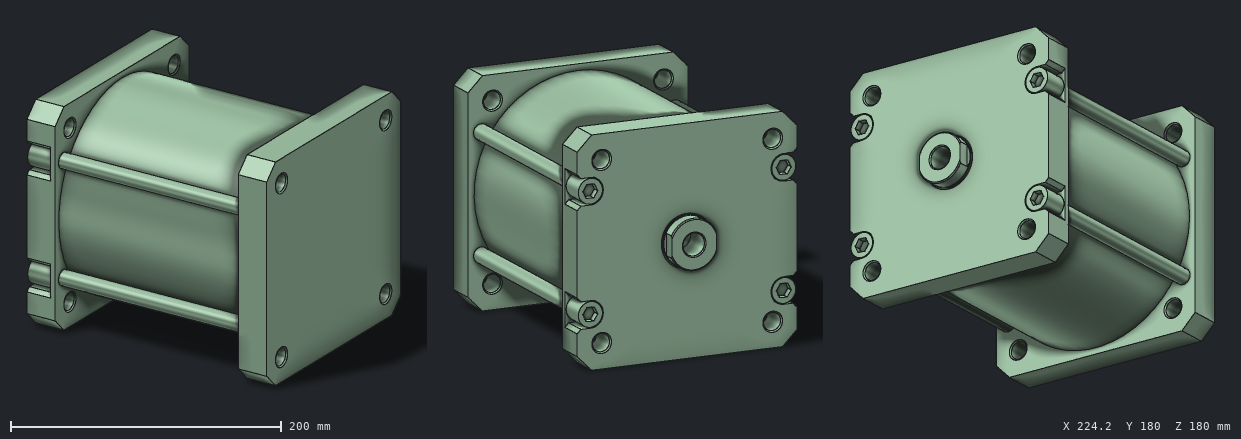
import cadquery as cq
import math

overall_length = 224.2
rod_projection = 12.0
plate_thickness = 25.1
barrel_length = overall_length - rod_projection - 2 * plate_thickness

front_face_x = 0.0
rod_tip_x = front_face_x - rod_projection
barrel_start_x = front_face_x + plate_thickness
rear_plate_x = barrel_start_x + barrel_length

plate_side = 180.0
plate_corner_cut = 11.9
mount_hole_diameter = 14.0
mount_hole_chamfer = 1.1
mount_hole_offset = 70.0

barrel_diameter = 170.0

bolt_offset_y = 79.2
bolt_offset_z = 47.0
bolt_shank_diameter = 12.5
bolt_head_diameter = 19.7
bolt_engagement = 15.0
bolt_turn = 33.0
socket_across_flats = 10.5
socket_mouth_diameter = 12.5
socket_mouth_depth = 0.2
socket_depth = 6.0
pocket_width = 21.0
pocket_depth = 20.9
pocket_mouth_chamfer = 3.1
bolt_places = [(y, z) for y in (-bolt_offset_y, bolt_offset_y) for z in (-bolt_offset_z, bolt_offset_z)]

rod_head_diameter = 40.1
rod_neck_diameter = 39.0
rod_neck_gap = 1.0
rod_tip_chamfer = 1.0
rod_across_flats = 36.3
rod_flat_length = 9.5
rod_bore_chamfer = 1.5
rod_hole_diameter = 17.5
rod_hole_chamfer = 1.0
rod_hole_depth = 24.7
drill_point_angle = 118.0


def cylinder(diameter, start_x, length, y=0.0, z=0.0):
    """Cylinder along +X from start_x."""
    return cq.Workplane(cq.Solid.makeCylinder(
        diameter / 2, length, cq.Vector(start_x, y, z), cq.Vector(1, 0, 0)))


def cone(start_diameter, end_diameter, start_x, length, y=0.0, z=0.0):
    """Cone along +X from start_x, given its diameter at each end."""
    return cq.Workplane(cq.Solid.makeCone(
        start_diameter / 2, end_diameter / 2, length, cq.Vector(start_x, y, z), cq.Vector(1, 0, 0)))


def mount_hole(start_x, y, z):
    """Through hole in an end plate, chamfered at both faces."""
    end_x = start_x + plate_thickness
    mouth_diameter = mount_hole_diameter + 2 * mount_hole_chamfer
    near_chamfer = cone(mouth_diameter, mount_hole_diameter, start_x, mount_hole_chamfer, y, z)
    far_chamfer = cone(
        mount_hole_diameter, mouth_diameter, end_x - mount_hole_chamfer, mount_hole_chamfer, y, z)
    hole = cylinder(mount_hole_diameter, start_x, plate_thickness, y, z)
    return hole.union(near_chamfer).union(far_chamfer)


def end_plate(start_x):
    """Square plate with cut corners and four mounting holes."""
    plate = (
        cq.Workplane("YZ", origin=(start_x, 0, 0))
        .rect(plate_side, plate_side)
        .extrude(plate_thickness)
        .edges("|X")
        .chamfer(plate_corner_cut)
    )
    for y in (-mount_hole_offset, mount_hole_offset):
        for z in (-mount_hole_offset, mount_hole_offset):
            plate = plate.cut(mount_hole(start_x, y, z))
    return plate


def bolt_pocket(y, z):
    """Round-ended pocket for a bolt head, open to the front and to the nearer side of the plate."""
    outward = math.copysign(1, y)
    side_y = outward * plate_side / 2
    flare_y = side_y - outward * pocket_mouth_chamfer
    half_width = pocket_width / 2
    half_mouth = half_width + pocket_mouth_chamfer
    return (
        cq.Workplane("YZ", origin=(front_face_x, 0, 0))
        .moveTo(side_y, z - half_mouth)
        .lineTo(flare_y, z - half_width)
        .lineTo(y, z - half_width)
        .threePointArc((y - outward * half_width, z), (y, z + half_width))
        .lineTo(flare_y, z + half_width)
        .lineTo(side_y, z + half_mouth)
        .close()
        .extrude(pocket_depth)
    )


def make_front_plate():
    """Front plate with the bolt pockets, bolt holes and rod bore."""
    plate = end_plate(front_face_x)
    for y, z in bolt_places:
        plate = plate.cut(bolt_pocket(y, z))
        plate = plate.cut(cylinder(bolt_shank_diameter, front_face_x, plate_thickness, y, z))
    plate = plate.cut(cylinder(rod_neck_diameter, front_face_x, plate_thickness))
    bore_mouth_diameter = rod_neck_diameter + 2 * rod_bore_chamfer
    return plate.cut(cone(bore_mouth_diameter, rod_neck_diameter, front_face_x, rod_bore_chamfer))


def make_rear_plate():
    """Rear plate with blind holes that take the bolt ends."""
    plate = end_plate(rear_plate_x)
    for y, z in bolt_places:
        plate = plate.cut(cylinder(bolt_shank_diameter, rear_plate_x, bolt_engagement, y, z))
    return plate


def make_barrel():
    """Plain round barrel between the plates."""
    return cylinder(barrel_diameter, barrel_start_x, barrel_length)


def make_tie_bolt(y, z):
    """Socket head bolt from the front pocket into the rear plate."""
    shank_start_x = front_face_x + pocket_depth
    shank_length = rear_plate_x + bolt_engagement - shank_start_x
    head = cylinder(bolt_head_diameter, front_face_x, pocket_depth, y, z)
    shank = cylinder(bolt_shank_diameter, shank_start_x, shank_length, y, z)
    socket = (
        cq.Workplane("YZ", origin=(front_face_x, y, z))
        .polygon(6, socket_across_flats, circumscribed=True)
        .extrude(socket_depth)
    )
    mouth = cone(socket_mouth_diameter, socket_across_flats, front_face_x, socket_mouth_depth, y, z)
    bolt = head.union(shank).cut(socket).cut(mouth)
    return bolt.rotate((0, y, z), (1, y, z), bolt_turn)


def wrench_flat(side):
    """Material removed for one rod flat, ending in a 45 degree ramp; side is -1 or 1 along Y."""
    ramp_start_x = rod_tip_x + rod_flat_length
    flat_y = rod_across_flats / 2
    outer_y = rod_head_diameter / 2
    ramp_end_x = ramp_start_x + outer_y - flat_y
    return (
        cq.Workplane("XY", origin=(0, 0, -rod_head_diameter / 2))
        .polyline([
            (rod_tip_x, side * flat_y),
            (ramp_start_x, side * flat_y),
            (ramp_end_x, side * outer_y),
            (rod_tip_x, side * outer_y),
        ])
        .close()
        .extrude(rod_head_diameter)
    )


def rod_end_hole():
    """Blind drilled hole in the rod tip with a chamfered mouth and a conical bottom."""
    mouth_diameter = rod_hole_diameter + 2 * rod_hole_chamfer
    point_length = rod_hole_diameter / 2 / math.tan(math.radians(drill_point_angle / 2))
    mouth = cone(mouth_diameter, rod_hole_diameter, rod_tip_x, rod_hole_chamfer)
    hole = cylinder(rod_hole_diameter, rod_tip_x, rod_hole_depth)
    point = cone(rod_hole_diameter, 0, rod_tip_x + rod_hole_depth, point_length)
    return hole.union(mouth).union(point)


def make_piston_rod():
    """Rod head with wrench flats and an end hole, on a neck that passes through the front plate."""
    neck_start_x = front_face_x - rod_neck_gap
    head = cylinder(rod_head_diameter, rod_tip_x, rod_projection - rod_neck_gap)
    head = head.faces("<X").chamfer(rod_tip_chamfer)
    for side in (-1, 1):
        head = head.cut(wrench_flat(side))
    neck = cylinder(rod_neck_diameter, neck_start_x, rod_neck_gap + plate_thickness)
    return head.union(neck).cut(rod_end_hole())


front_plate = make_front_plate()
rear_plate = make_rear_plate()
barrel = make_barrel()
piston_rod = make_piston_rod()
tie_bolts = [make_tie_bolt(y, z) for y, z in bolt_places]

result = cq.Compound.makeCompound([
    front_plate.val(),
    rear_plate.val(),
    barrel.val(),
    piston_rod.val(),
    *[bolt.val() for bolt in tie_bolts],
])